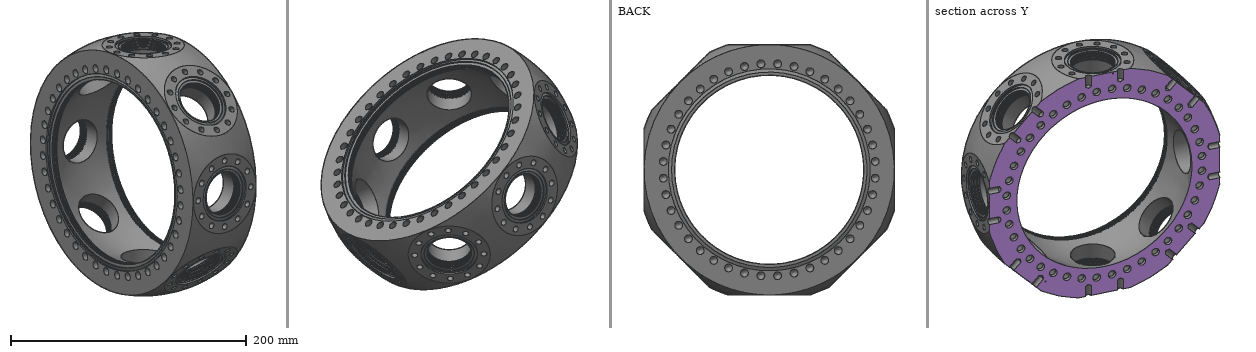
import cadquery as cq
import math

WIDTH = 70.7
ACROSS_FLATS = 213.0
FLAT_RADIUS = 35.0
CAVITY_RADIUS = 84.5
PORT_COUNT = 8

HALF_WIDTH = WIDTH / 2
FLAT_DISTANCE = ACROSS_FLATS / 2
BALL_RADIUS = math.hypot(FLAT_DISTANCE, FLAT_RADIUS)

RECESS_DEPTH = 1.7
KNIFE_TIP_DEPTH = 0.6
FLOOR_DEPTH = 2.0

GROOVE_WIDTH = 1.5
GROOVE_DEPTH = 1.0
GROOVE_PITCH = 2.8
LAND_WIDTH = GROOVE_PITCH - GROOVE_WIDTH

PORT_BORE_RADIUS = 19.0
PORT_KNIFE_RADIUS = 21.3
PORT_RECESS_RADIUS = 24.0
PORT_GROOVES = 3
PORT_BOLT_CIRCLE_RADIUS = 29.4
PORT_BOLTS = 12
PORT_BOLT_DIAMETER = 5.1
PORT_BOLT_DEPTH = 9.5
PORT_BOLT_START = 0.0

MAIN_BORE_RADIUS = 80.3
MAIN_KNIFE_RADIUS = 83.0
MAIN_RECESS_RADIUS = 85.8
MAIN_GROOVES = 2
MAIN_BOLT_CIRCLE_RADIUS = 90.3
MAIN_BOLTS = 40
MAIN_BOLT_DIAMETER = 6.5
MAIN_BOLT_DEPTH = 12.8
MAIN_BOLT_START = 180 / MAIN_BOLTS

DRILL_TIP_ANGLE = 118.0

PORT_CUT_END = 63.9
MAIN_CUT_END = 21.3


def make_prism():
    """Octagonal slab that carries the flats and the two end faces."""
    corner_diameter = ACROSS_FLATS / math.cos(math.pi / PORT_COUNT)
    return (
        cq.Workplane("XZ")
        .polygon(PORT_COUNT, corner_diameter)
        .extrude(HALF_WIDTH, both=True)
        .rotate((0, 0, 0), (0, 1, 0), 180 / PORT_COUNT)
    )


def port_cutter(face, bore_radius, knife_radius, recess_radius, grooves, end):
    """Round cutter along +Z that opens a port from height `face` down to `end`."""
    floor = face - FLOOR_DEPTH
    profile = (
        cq.Workplane("XZ")
        .moveTo(0, face)
        .lineTo(recess_radius, face)
        .lineTo(recess_radius, face - RECESS_DEPTH)
        .lineTo(knife_radius, face - KNIFE_TIP_DEPTH)
        .lineTo(knife_radius, floor)
        .lineTo(bore_radius, floor)
    )
    for index in range(grooves):
        groove_top = floor - LAND_WIDTH - index * GROOVE_PITCH
        groove_bottom = groove_top - GROOVE_WIDTH
        profile = (
            profile.lineTo(bore_radius, groove_top)
            .lineTo(bore_radius + GROOVE_DEPTH, groove_top)
            .lineTo(bore_radius + GROOVE_DEPTH, groove_bottom)
            .lineTo(bore_radius, groove_bottom)
        )
    profile = profile.lineTo(bore_radius, end).lineTo(0, end).close()
    return profile.revolve(360, (0, 0, 0), (0, 1, 0))


def bolt_cutters(face, circle_radius, count, diameter, depth, start_angle):
    """Ring of blind drilled holes with conical bottoms, along Z."""
    radius = diameter / 2
    tip_length = radius / math.tan(math.radians(DRILL_TIP_ANGLE / 2))
    drill = (
        cq.Workplane("XZ")
        .moveTo(0, face)
        .lineTo(radius, face)
        .lineTo(radius, face - depth)
        .lineTo(0, face - depth - tip_length)
        .close()
        .revolve(360, (0, 0, 0), (0, 1, 0))
        .translate((circle_radius, 0, 0))
    )
    holes = cq.Workplane("XY")
    for index in range(count):
        angle = start_angle + index * 360 / count
        holes = holes.add(drill.rotate((0, 0, 0), (0, 0, 1), angle))
    return holes


def turned(cutters, axis, angle):
    """The solids of `cutters` turned about an axis through the centre."""
    return cutters.rotate((0, 0, 0), axis, angle).vals()


small_port = port_cutter(
    FLAT_DISTANCE, PORT_BORE_RADIUS, PORT_KNIFE_RADIUS, PORT_RECESS_RADIUS, PORT_GROOVES, PORT_CUT_END
)
small_bolts = bolt_cutters(
    FLAT_DISTANCE, PORT_BOLT_CIRCLE_RADIUS, PORT_BOLTS, PORT_BOLT_DIAMETER, PORT_BOLT_DEPTH,
    PORT_BOLT_START,
)
port_cutters = []
bolts = []
for port in range(PORT_COUNT):
    port_angle = port * 360 / PORT_COUNT
    port_cutters += turned(small_port, (0, 1, 0), port_angle)
    bolts += turned(small_bolts, (0, 1, 0), port_angle)

main_port = port_cutter(
    HALF_WIDTH, MAIN_BORE_RADIUS, MAIN_KNIFE_RADIUS, MAIN_RECESS_RADIUS, MAIN_GROOVES, MAIN_CUT_END
)
main_bolts = bolt_cutters(
    HALF_WIDTH, MAIN_BOLT_CIRCLE_RADIUS, MAIN_BOLTS, MAIN_BOLT_DIAMETER, MAIN_BOLT_DEPTH,
    MAIN_BOLT_START,
)
for end_angle in (90, -90):
    port_cutters += turned(main_port, (1, 0, 0), end_angle)
    bolts += turned(main_bolts, (1, 0, 0), end_angle)

openings = cq.Compound.makeCompound(bolts + port_cutters)
drilled = make_prism().cut(cq.Workplane(openings))
ball = cq.Workplane("XY").sphere(BALL_RADIUS)
cavity = cq.Workplane("XY").sphere(CAVITY_RADIUS)
result = drilled.intersect(ball).cut(cavity)